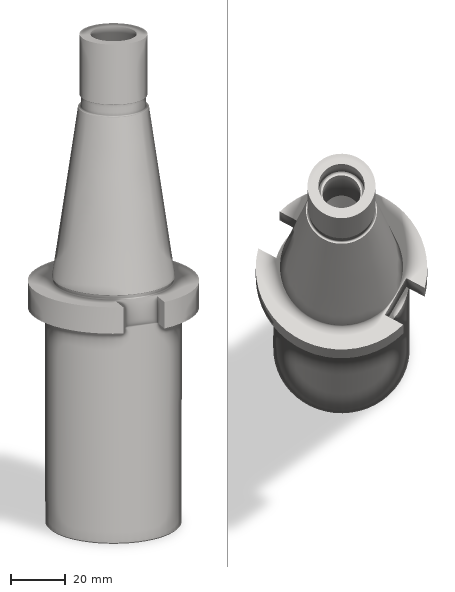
import cadquery as cq
import math

total_height = 188.4
flange_top = 93.5
flange_thickness = 10.2
taper_bottom = 95.1
taper_top = 160.5
pilot_bottom = 165.2

body_diameter = 50.0
flange_diameter = 62.7
collar_diameter = 44.0
taper_diameter = 45.0
neck_diameter = 24.0
pilot_diameter = 24.9
body_chamfer = 0.5
relief_fillet = 0.4

taper_rate = 7 / 24

slot_width = 16.2
slot_floor_offset = 22.6

bore_diameter = 17.0
bore_depth = 8.7
drill_diameter = 14.0
drill_depth = 32.0
drill_point_angle = 118.0


def add_relief(outline, diameter, bottom, top):
    """Continue the outline up a cylindrical relief with a concave fillet at each end."""
    radius = diameter / 2
    arc_inset = relief_fillet * (1 - math.sqrt(0.5))
    return (
        outline.lineTo(radius + relief_fillet, bottom)
        .threePointArc((radius + arc_inset, bottom + arc_inset), (radius, bottom + relief_fillet))
        .lineTo(radius, top - relief_fillet)
        .threePointArc((radius + arc_inset, top - arc_inset), (radius + relief_fillet, top))
    )


def make_shank():
    """Revolve the body, flange, collar relief, taper, neck relief and pilot about Z."""
    flange_bottom = flange_top - flange_thickness
    taper_top_diameter = taper_diameter - taper_rate * (taper_top - taper_bottom)
    outline = (
        cq.Workplane("XZ")
        .lineTo(body_diameter / 2 - body_chamfer, 0)
        .lineTo(body_diameter / 2, body_chamfer)
        .lineTo(body_diameter / 2, flange_bottom)
        .lineTo(flange_diameter / 2, flange_bottom)
        .lineTo(flange_diameter / 2, flange_top)
    )
    outline = add_relief(outline, collar_diameter, flange_top, taper_bottom)
    outline = outline.lineTo(taper_diameter / 2, taper_bottom)
    outline = outline.lineTo(taper_top_diameter / 2, taper_top)
    outline = add_relief(outline, neck_diameter, taper_top, pilot_bottom)
    outline = (
        outline.lineTo(pilot_diameter / 2, pilot_bottom)
        .lineTo(pilot_diameter / 2, total_height)
        .lineTo(0, total_height)
        .close()
    )
    return outline.revolve(360, (0, 0), (0, 1))


def make_drive_slot(side):
    """Flat-floored slot through the flange; side is +1 or -1 along X."""
    slot_length = flange_diameter / 2
    slot_center = side * (slot_floor_offset + slot_length / 2)
    return (
        cq.Workplane("XY", origin=(slot_center, 0, flange_top - flange_thickness))
        .rect(slot_length, slot_width)
        .extrude(flange_thickness)
    )


def make_stepped_hole():
    """Counterbore followed by a drilled hole with a conical bottom."""
    bore_floor = total_height - bore_depth
    drill_floor = total_height - drill_depth
    point_length = drill_diameter / 2 / math.tan(math.radians(drill_point_angle / 2))
    profile = [
        (0, total_height),
        (bore_diameter / 2, total_height),
        (bore_diameter / 2, bore_floor),
        (drill_diameter / 2, bore_floor),
        (drill_diameter / 2, drill_floor),
        (0, drill_floor - point_length),
    ]
    return cq.Workplane("XZ").polyline(profile).close().revolve(360, (0, 0), (0, 1))


result = make_shank().cut(make_stepped_hole())
for side in (-1, 1):
    result = result.cut(make_drive_slot(side))